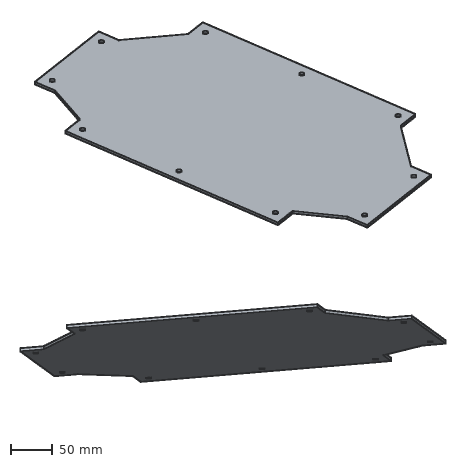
import cadquery as cq

length = 500.0
width = 280.0
thickness = 4.0

long_tab_width = 320.0
tab_depth = 30.0
back_notch = 90.0
front_notch = 60.0

hole_diameter = 6.5
hole_inset = 15.0

half_length = length / 2
half_width = width / 2
half_tab = long_tab_width / 2
end_tab_back = half_width - back_notch
end_tab_front = -half_width + front_notch

right_side = [
    (half_tab, -half_width),
    (half_tab, -half_width + tab_depth),
    (half_length - tab_depth, end_tab_front),
    (half_length, end_tab_front),
    (half_length, end_tab_back),
    (half_length - tab_depth, end_tab_back),
    (half_tab, half_width - tab_depth),
    (half_tab, half_width),
]
left_side = [(-x, y) for x, y in reversed(right_side)]

plate = cq.Workplane("XY").polyline(right_side + left_side).close().extrude(thickness)

long_tab_hole_x = half_tab - hole_inset
long_tab_hole_y = half_width - hole_inset
end_tab_hole_x = half_length - hole_inset
hole_points = [
    (x, y)
    for x in (-long_tab_hole_x, 0, long_tab_hole_x)
    for y in (-long_tab_hole_y, long_tab_hole_y)
]
hole_points += [
    (x, y)
    for x in (-end_tab_hole_x, end_tab_hole_x)
    for y in (end_tab_front + hole_inset, end_tab_back - hole_inset)
]

holes = cq.Workplane("XY").pushPoints(hole_points).circle(hole_diameter / 2).extrude(thickness)

result = plate.cut(holes)